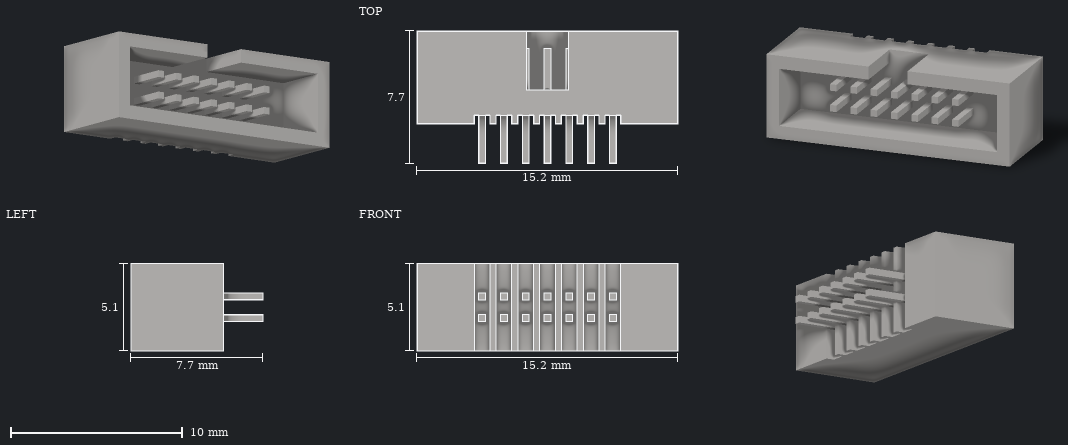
import cadquery as cq


housing_length = 15.19
housing_depth = 5.4
housing_height = 5.1
wall_thickness = 0.8

pins_per_row = 7
row_count = 2
pitch = 1.27
pin_width = 0.4
tail_length = 2.3
pin_recess = 1.0

notch_width = 2.44
cavity_depth = 3.42

groove_width = 0.91
groove_depth = 0.5

mouth_y = housing_depth


def centred_positions(count):
    """Positions at the pin pitch, centred on zero."""
    return [(index - (count - 1) / 2) * pitch for index in range(count)]


def block(length, height, start_y, end_y, x=0.0, z=0.0):
    """Box centred at (x, z) that runs from start_y to end_y."""
    depth = end_y - start_y
    return cq.Workplane("XY").box(length, depth, height).translate((x, start_y + depth / 2, z))


def make_housing():
    housing = block(housing_length, housing_height, 0, mouth_y)
    cavity = block(
        housing_length - 2 * wall_thickness,
        housing_height - 2 * wall_thickness,
        mouth_y - cavity_depth,
        mouth_y,
    )
    return housing.cut(cavity)


def cut_notch(housing):
    notch_height = housing_height / 2
    notch = block(notch_width, notch_height, mouth_y - cavity_depth, mouth_y, z=notch_height / 2)
    return housing.cut(notch)


def cut_grooves(housing):
    for x in centred_positions(pins_per_row):
        housing = housing.cut(block(groove_width, housing_height, 0, groove_depth, x=x))
    return housing


def add_pins(housing):
    for x in centred_positions(pins_per_row):
        for z in centred_positions(row_count):
            pin = block(pin_width, pin_width, -tail_length, mouth_y - pin_recess, x=x, z=z)
            housing = housing.union(pin)
    return housing


result = add_pins(cut_grooves(cut_notch(make_housing())))